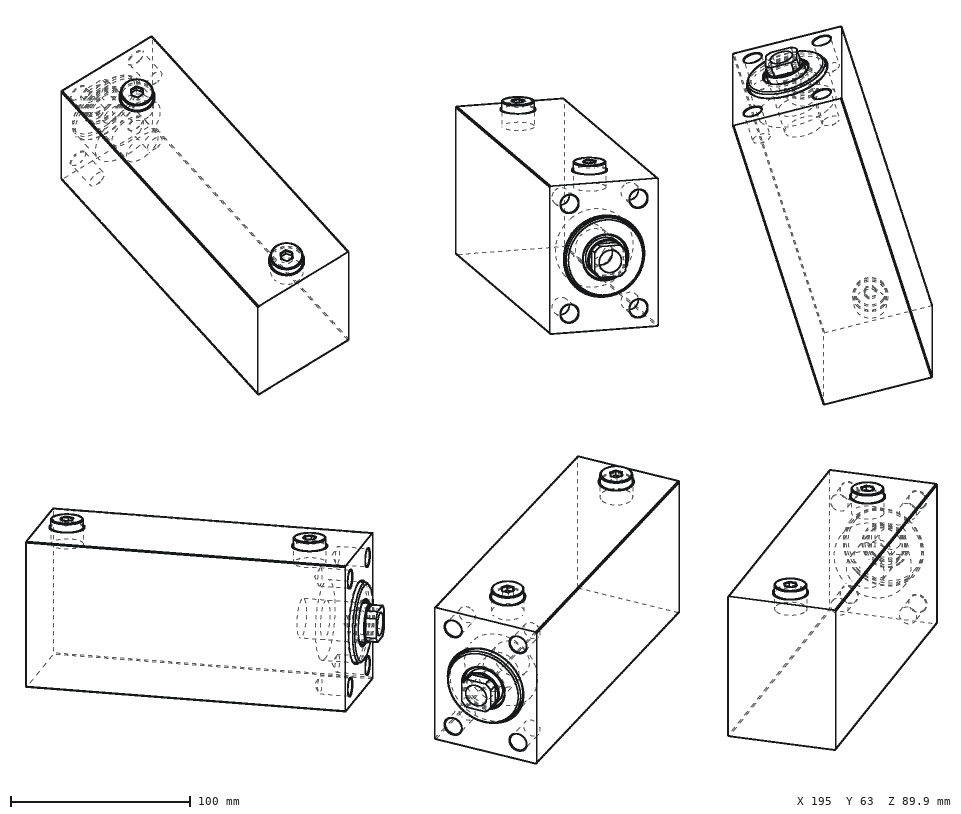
import cadquery as cq
import math

total_length = 195.0
body_length = 183.0
body_width = 63.0
body_height = 85.0
edge_chamfer = 0.5
body_front = total_length - body_length
axis_height = body_height / 2

mount_spacing_y = 40.0
mount_spacing_z = 63.0
mount_hole_diameter = 10.1
mount_hole_depth = 17.5
mount_mouth_chamfer = 0.4
drill_point_angle = 118.0

gland_diameter = 45.0
gland_stickout = 3.0
gland_depth = 19.5
gland_chamfer = 1.0
gland_front = body_front - gland_stickout
gland_back = body_front + gland_depth
seat_mouth_chamfer = 1.0
wiper_recess_diameter = 25.5
wiper_recess_depth = 2.0
wiper_recess_chamfer = 0.5

rod_diameter = 22.0
rod_front = 6.0
rod_length = 39.0
rod_back = rod_front + rod_length
rod_chamfer = 0.5
wrench_round_diameter = 21.3
wrench_flat_width = 18.0
rod_hole_diameter = 12.9
rod_hole_depth = 17.5

first_plug_x = 40.4
plug_spacing = 139.0
plug_positions_x = (first_plug_x, first_plug_x + plug_spacing)
plug_diameter = 18.1
plug_stickout = 4.9
plug_depth = 9.8
plug_chamfer = 0.5
spotface_diameter = 19.9
spotface_depth = 0.2
hex_sides = 6
hex_width = 6.0
hex_depth = 3.0
hex_chamfer = 0.4


def rod_axis_cylinder(diameter, start_x, end_x):
    """Cylinder on the rod axis between two X positions."""
    return (
        cq.Workplane("YZ", origin=(start_x, 0, axis_height))
        .circle(diameter / 2)
        .extrude(end_x - start_x)
    )


def vertical_cylinder(diameter, x, bottom_z, top_z):
    """Cylinder along Z on the body's middle plane."""
    return (
        cq.Workplane("XY", origin=(x, 0, bottom_z))
        .circle(diameter / 2)
        .extrude(top_z - bottom_z)
    )


def drilled_hole(diameter, depth, mouth_chamfer=0.0):
    """Cutter for a blind hole along +X from the origin, with a drill point; the mouth may be chamfered."""
    radius = diameter / 2
    point_length = radius / math.tan(math.radians(drill_point_angle / 2))
    half_profile = [(0, 0), (0, radius + mouth_chamfer)]
    if mouth_chamfer > 0:
        half_profile.append((mouth_chamfer, radius))
    half_profile += [(depth, radius), (depth + point_length, 0)]
    return cq.Workplane("XY").polyline(half_profile).close().revolve(360, (0, 0, 0), (1, 0, 0))


def make_housing():
    housing = (
        cq.Workplane("XY", origin=(body_front, 0, 0))
        .box(body_length, body_width, body_height, centered=(False, True, False))
        .edges("|X")
        .chamfer(edge_chamfer)
    )

    housing = housing.cut(rod_axis_cylinder(gland_diameter, body_front, gland_back))
    housing = housing.faces("<X").edges("%CIRCLE").chamfer(seat_mouth_chamfer)
    housing = housing.cut(rod_axis_cylinder(rod_diameter, gland_back, rod_back))

    mount_hole = drilled_hole(mount_hole_diameter, mount_hole_depth, mount_mouth_chamfer)
    for side_y in (-1, 1):
        for side_z in (-1, 1):
            hole_y = side_y * mount_spacing_y / 2
            hole_z = axis_height + side_z * mount_spacing_z / 2
            housing = housing.cut(mount_hole.translate((body_front, hole_y, hole_z)))

    for x in plug_positions_x:
        port = vertical_cylinder(plug_diameter, x, body_height - plug_depth, body_height)
        spotface = vertical_cylinder(spotface_diameter, x, body_height - spotface_depth, body_height)
        housing = housing.cut(port).cut(spotface)
    return housing


def make_gland():
    gland = rod_axis_cylinder(gland_diameter, gland_front, gland_back)
    gland = gland.faces("<X").edges().chamfer(gland_chamfer)

    recess_back = gland_front + wiper_recess_depth
    gland = gland.cut(rod_axis_cylinder(wiper_recess_diameter, gland_front, recess_back))
    inner_edge = cq.selectors.RadiusNthSelector(0)
    gland = gland.faces("<X").edges(inner_edge).chamfer(wiper_recess_chamfer)
    return gland.cut(rod_axis_cylinder(rod_diameter, recess_back, gland_back))


def make_rod():
    rod = rod_axis_cylinder(rod_diameter, rod_front, rod_back)
    rod = rod.faces("<X").edges().chamfer(rod_chamfer)

    wrench_square = (
        cq.Workplane("YZ", origin=(0, 0, axis_height))
        .rect(wrench_flat_width, wrench_flat_width)
        .extrude(rod_front)
    )
    wrench_end = rod_axis_cylinder(wrench_round_diameter, 0, rod_front).intersect(wrench_square)

    end_hole = drilled_hole(rod_hole_diameter, rod_hole_depth)
    return rod.union(wrench_end).cut(end_hole.translate((0, 0, axis_height)))


def make_plug(x):
    plug_top = body_height + plug_stickout
    plug = vertical_cylinder(plug_diameter, x, body_height - plug_depth, plug_top)
    plug = plug.faces(">Z").edges().chamfer(plug_chamfer)

    socket = (
        cq.Workplane("XY", origin=(x, 0, plug_top))
        .polygon(hex_sides, hex_width, circumscribed=True)
        .extrude(-hex_depth)
    )
    plug = plug.cut(socket)
    return plug.faces(">Z").edges("not %CIRCLE").chamfer(hex_chamfer)


housing = make_housing()
gland = make_gland()
rod = make_rod()
plugs = [make_plug(x) for x in plug_positions_x]

result = cq.Compound.makeCompound(
    [housing.val(), gland.val(), rod.val(), *[plug.val() for plug in plugs]]
)